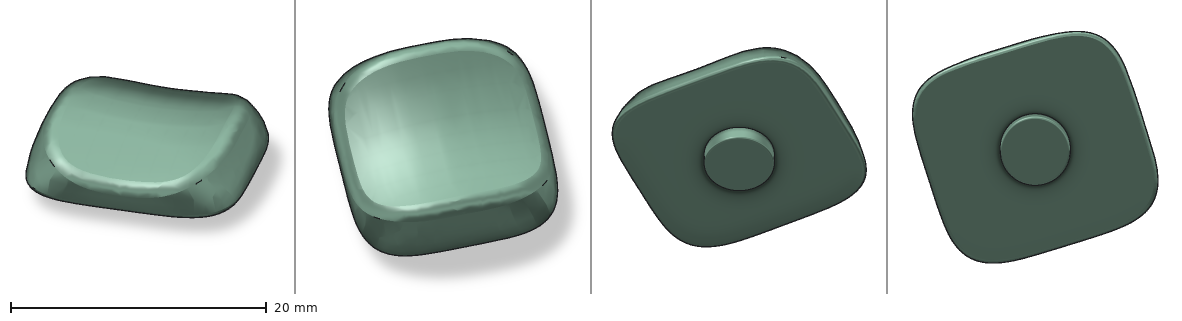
import cadquery as cq
import math

cap_length = 17.47
cap_width = 16.47
total_height = 5.57
cap_height = 4.28
wall_height = 5.07
base_edge_radius = 0.31
rim_radius = 1.3

wall_sections = [
    (0.0, 0.0, 4.4),
    (1.57, 0.15, 3.7),
    (3.15, 0.73, 3.0),
    (wall_height, 2.18, 2.7),
]
outline_points = 40

saddle_height = 3.53
dish_radius = 27.95
crown_radius = 22.36
saddle_half_length = 0.6 * cap_length

stem_diameter = 5.5
stem_height = total_height - cap_height
stem_edge_radius = 0.17


def superellipse(half_length, half_width, exponent):
    """Points of a rounded-square outline, without repeating the first one."""
    points = []
    for i in range(outline_points):
        angle = 2 * math.pi * i / outline_points
        c = math.cos(angle)
        s = math.sin(angle)
        reach = (abs(c) ** exponent + abs(s) ** exponent) ** (-1 / exponent)
        points.append((half_length * c * reach, half_width * s * reach))
    return points


def make_wall_block():
    """Block with curved walls that lean inward and grow rounder with height."""
    outlines = []
    for height, inset, exponent in wall_sections:
        points = superellipse(cap_length / 2 - inset, cap_width / 2 - inset, exponent)
        outline = cq.Workplane("XY", origin=(0, 0, height)).spline(points, periodic=True).close()
        outlines.append(outline.val())
    return cq.Workplane(cq.Solid.makeLoft(outlines))


def make_saddle():
    """Solid under the saddle: a concave arc turned about an axis parallel to X."""
    axis_height = saddle_height - crown_radius
    dish_rise = dish_radius - math.sqrt(dish_radius**2 - saddle_half_length**2)
    end_height = saddle_height + dish_rise
    return (
        cq.Workplane("XZ")
        .moveTo(-saddle_half_length, axis_height)
        .lineTo(-saddle_half_length, end_height)
        .threePointArc((0, saddle_height), (saddle_half_length, end_height))
        .lineTo(saddle_half_length, axis_height)
        .close()
        .revolve(360, (0, axis_height, 0), (1, axis_height, 0))
    )


def make_cap():
    """Wall block trimmed by the saddle, with the rim and base edge rounded."""
    cap = make_wall_block().intersect(make_saddle())
    cap = cap.edges(">Z").fillet(rim_radius)
    return cap.faces("<Z").edges().fillet(base_edge_radius)


def make_stem():
    """Cylinder hanging from the underside of the cap, rounded at its free end."""
    stem = cq.Workplane("XY").circle(stem_diameter / 2).extrude(-stem_height)
    return stem.faces("<Z").edges().fillet(stem_edge_radius)


cap = make_cap()
stem = make_stem()
result = cq.Compound.makeCompound([cap.val(), stem.val()])